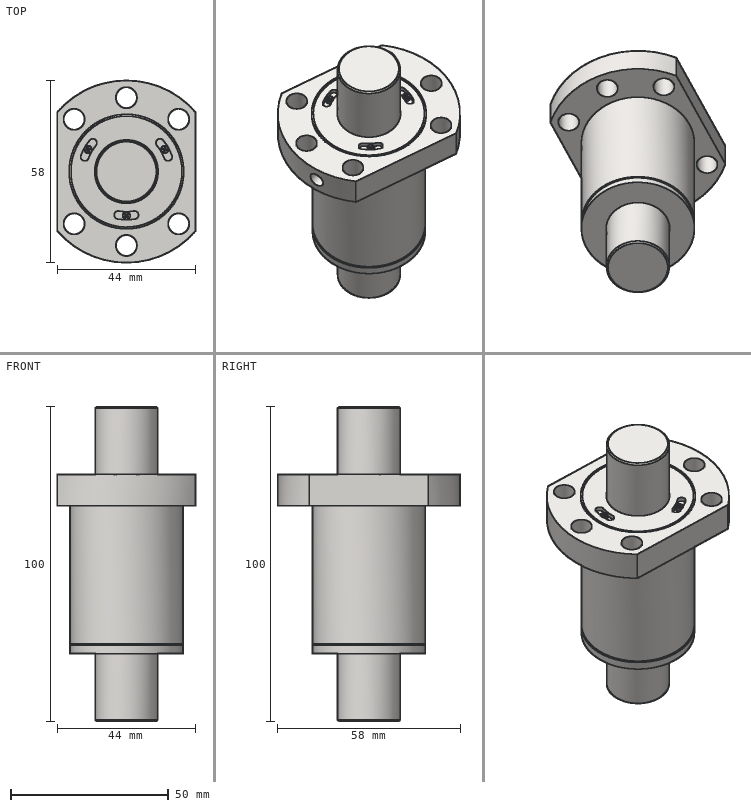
import cadquery as cq
import math

shaft_diameter = 20.0
shaft_length = 100.0
shaft_chamfer = 0.5

body_diameter = 36.0
body_length = 57.0
body_bottom = -body_length / 2
body_top = body_length / 2

flange_diameter = 58.0
flange_width = 44.0
flange_thickness = 10.0

mount_hole_diameter = 6.6
mount_circle_radius = 23.5
mount_hole_angles = [45, 90, 135, 225, 270, 315]

oil_hole_diameter = 4.92
oil_hole_angle = 112.5
oil_hole_depth = 8.0

cap_height = 2.75
clearance_diameter = 20.2

groove_width = 0.4
groove_depth = 0.2

seam_outer_diameter = 36.5
seam_inner_diameter = 35.3
seam_depth = (seam_outer_diameter - seam_inner_diameter) / 2

slot_circle_radius = 14.05
slot_width = 2.6
slot_half_angle = 10.5
slot_depth = 1.5
slot_angles = [30, 150, 270]

head_diameter = 2.4
head_height = 1.0
recess_length = 1.8
recess_width = 0.4
recess_depth = 0.5
recess_angle = 45.0


def cylinder(diameter, bottom, height):
    return cq.Workplane("XY").workplane(offset=bottom).circle(diameter / 2).extrude(height)


def ring(outer_diameter, inner_diameter, bottom, height):
    return cylinder(outer_diameter, bottom, height).cut(cylinder(inner_diameter, bottom, height))


def polar(radius, angle):
    return (radius * math.cos(math.radians(angle)), radius * math.sin(math.radians(angle)))


def make_shaft():
    shaft = cylinder(shaft_diameter, -shaft_length / 2, shaft_length)
    return shaft.faces("<Z or >Z").chamfer(shaft_chamfer)


def make_flange():
    bottom = body_top - flange_thickness
    disc = cylinder(flange_diameter, bottom, flange_thickness)
    flats = (
        cq.Workplane("XY")
        .workplane(offset=bottom)
        .rect(flange_width, flange_diameter)
        .extrude(flange_thickness)
    )
    holes = (
        cq.Workplane("XY")
        .workplane(offset=bottom)
        .pushPoints([polar(mount_circle_radius, angle) for angle in mount_hole_angles])
        .circle(mount_hole_diameter / 2)
        .extrude(flange_thickness)
    )
    return disc.intersect(flats).cut(holes)


def make_oil_hole():
    start = polar(flange_diameter / 2, oil_hole_angle)
    inward = polar(-1, oil_hole_angle)
    return cq.Workplane(
        cq.Solid.makeCylinder(
            oil_hole_diameter / 2,
            oil_hole_depth,
            cq.Vector(*start, body_top - flange_thickness / 2),
            cq.Vector(*inward, 0),
        )
    )


def make_seam():
    """Ring of triangular section around the upper cap."""
    outer = seam_outer_diameter / 2
    inner = seam_inner_diameter / 2
    section = cq.Workplane("XZ").polyline(
        [(inner, body_top), (outer, body_top), (outer, body_top - seam_depth)]
    )
    return section.close().revolve(360, (0, 0, 0), (0, 1, 0))


def make_slot():
    """Curved slot concentric with the shaft, centred on the X axis."""
    inner = slot_circle_radius - slot_width / 2
    outer = slot_circle_radius + slot_width / 2
    end_bulge = math.degrees(2 * math.asin(slot_width / 4 / slot_circle_radius))
    tip_angle = slot_half_angle + end_bulge
    return (
        cq.Workplane("XY")
        .workplane(offset=body_top - slot_depth)
        .moveTo(*polar(outer, -slot_half_angle))
        .threePointArc((outer, 0), polar(outer, slot_half_angle))
        .threePointArc(polar(slot_circle_radius, tip_angle), polar(inner, slot_half_angle))
        .threePointArc((inner, 0), polar(inner, -slot_half_angle))
        .threePointArc(polar(slot_circle_radius, -tip_angle), polar(outer, -slot_half_angle))
        .close()
        .extrude(slot_depth)
    )


def make_screw_head():
    """Round screw head on the slot floor, with a cross recess in its top."""
    floor = body_top - slot_depth
    head = cylinder(head_diameter, floor, head_height)
    for turn in (recess_angle, recess_angle + 90):
        bar = (
            cq.Workplane("XY")
            .workplane(offset=floor + head_height - recess_depth)
            .rect(recess_length, recess_width)
            .extrude(recess_depth)
        )
        head = head.cut(bar.rotate((0, 0, 0), (0, 0, 1), turn))
    return head.translate((slot_circle_radius, 0, 0))


result = make_shaft().union(cylinder(body_diameter, body_bottom, body_length)).union(make_flange())

result = result.cut(make_oil_hole())

result = result.cut(make_seam())
groove_floor_diameter = body_diameter - 2 * groove_depth
result = result.cut(ring(body_diameter, groove_floor_diameter, body_bottom + cap_height, groove_width))

for clearance_bottom in (body_bottom, body_top - cap_height):
    result = result.cut(ring(clearance_diameter, shaft_diameter, clearance_bottom, cap_height))

slot_pocket = make_slot().cut(make_screw_head())
for slot_angle in slot_angles:
    result = result.cut(slot_pocket.rotate((0, 0, 0), (0, 0, 1), slot_angle))